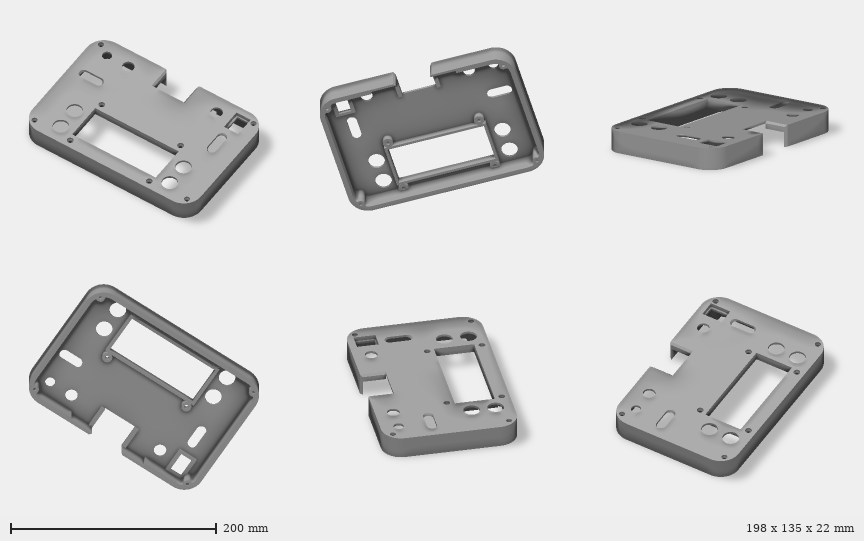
import cadquery as cq

length = 198.0
width = 135.0
height = 22.0
corner_radius = 20.0
wall = 5.0
plate = 2.4
plate_bottom = height - plate

corner_screw_x = 89.5
corner_screw_y = 57.8
corner_screw_hole = 3.2
corner_screw_head = 6.0
post_diameter = 8.3
post_blend = 2.0

notch_width = 39.0
notch_depth = 25.3
notch_bevel = 2.0
rail_width = 2.0
rail_height = 7.3
notch_front = width / 2 - notch_depth

thin_wall = 2.4
thin_wall_length = 86.3

window_x = 98.0
window_y = 40.0
window_center_y = -32.3
rim_wall = 2.5
rim_height = 9.0
window_screw_x = 46.3
window_screw_y = 27.3
window_screw_hole = 3.8
window_screw_head = 6.5
window_screw_boss = 9.9

seat_depth = 2.0
seat_cone_depth = 1.2

button_x = 64.0
button_rows = (-26.0, -49.9)
button_diameter = 16.2
jack_x = 51.9
jack_y = 49.5
jack_diameter = 12.3
lamp_x = -76.8
lamp_diameter = 9.9

slot_x = 73.9
slot_y = 17.6
slot_length = 27.7
slot_width = 9.9
slot_end_slope = 1.48

switch_x = 76.5
switch_y = 49.3
switch_recess_x = 16.6
switch_recess_y = 21.8
switch_recess_depth = 4.4
switch_opening_x = 12.5
switch_opening_y = 19.2
switch_floor = 2.4
switch_wall = 1.5
switch_ledge = height - switch_recess_depth
switch_bottom = switch_ledge - switch_floor

corner_screws = [(i * corner_screw_x, j * corner_screw_y) for i in (-1, 1) for j in (-1, 1)]
window_screws = [
    (i * window_screw_x, window_center_y + j * window_screw_y) for i in (-1, 1) for j in (-1, 1)
]
round_holes = [
    (lamp_x, jack_y, lamp_diameter),
    (-jack_x, jack_y, jack_diameter),
    (jack_x, jack_y, jack_diameter),
]
round_holes += [(i * button_x, y, button_diameter) for i in (-1, 1) for y in button_rows]


def block(size_x, size_y, bottom, top, x=0.0, y=0.0):
    """A box centred on (x, y) that spans bottom to top."""
    base = cq.Workplane("XY", origin=(x, y, bottom))
    return base.rect(size_x, size_y).extrude(top - bottom)


def cylinder(diameter, bottom, top, x, y):
    """An upright cylinder at (x, y) that spans bottom to top."""
    base = cq.Workplane("XY", origin=(x, y, bottom))
    return base.circle(diameter / 2).extrude(top - bottom)


def cavity():
    """The hollow inside: one quarter, shaped around its screw post, mirrored twice."""
    size_x = length / 2 - wall
    size_y = width / 2 - wall
    quarter = block(size_x, size_y, 0, plate_bottom, size_x / 2, size_y / 2)
    quarter = quarter.edges("|Z and >X and >Y").fillet(corner_radius - wall)
    quarter = quarter.cut(cylinder(post_diameter, 0, plate_bottom, corner_screw_x, corner_screw_y))
    near_post = cq.selectors.BoxSelector(
        (corner_screw_x - post_diameter, corner_screw_y - post_diameter, 0),
        (corner_screw_x + post_diameter, corner_screw_y + post_diameter, plate_bottom),
    )
    quarter = quarter.edges(near_post).edges("|Z").fillet(post_blend)
    half = quarter.union(quarter.mirror("YZ"))
    return half.union(half.mirror("XZ"))


def back_wall_recess():
    """The pocket inside the back wall that thins it beside the notch."""
    size_y = notch_depth - thin_wall
    center_y = notch_front + size_y / 2
    return block(thin_wall_length, size_y, 0, plate_bottom, 0, center_y)


def notch_rails():
    """A bar around the notch; the notch cuts it into two side rails."""
    size_x = notch_width + 2 * rail_width
    size_y = notch_depth - thin_wall
    center_y = notch_front + size_y / 2
    return block(size_x, size_y, height - rail_height, height, 0, center_y)


def notch():
    """The notch with bevelled upper side edges and chamfered outer corners."""
    back = width / 2
    half_outer = notch_width / 2
    half_inner = half_outer - notch_bevel
    plan = [
        (-half_inner, notch_front),
        (half_inner, notch_front),
        (half_inner, back - notch_bevel),
        (half_outer, back),
        (-half_outer, back),
        (-half_inner, back - notch_bevel),
    ]
    bevel_profile = [
        (-half_inner, height - notch_bevel),
        (half_inner, height - notch_bevel),
        (half_outer, height),
        (-half_outer, height),
    ]
    opening = cq.Workplane("XY").polyline(plan).close().extrude(height)
    back_plane = cq.Workplane("XZ", origin=(0, back, 0))
    bevel = back_plane.polyline(bevel_profile).close().extrude(notch_depth)
    return opening.union(bevel)


def window_rim():
    size_x = window_x + 2 * rim_wall
    size_y = window_y + 2 * rim_wall
    return block(size_x, size_y, height - rim_height, height, 0, window_center_y)


def switch_well():
    size_x = switch_recess_x + 2 * switch_wall
    size_y = switch_recess_y + 2 * switch_wall
    return block(size_x, size_y, switch_bottom, height, switch_x, switch_y)


def switch_cutout():
    recess = block(switch_recess_x, switch_recess_y, switch_ledge, height, switch_x, switch_y)
    opening = block(switch_opening_x, switch_opening_y, switch_bottom, height, switch_x, switch_y)
    return recess.union(opening)


def screw_hole(x, y, hole, head):
    """A through hole whose head seat is a counterbore with a conical floor."""
    seat = height - seat_depth
    cone = cq.Workplane("XY", origin=(x, y, seat)).circle(head / 2)
    cone = cone.workplane(offset=-seat_cone_depth).circle(hole / 2).loft(ruled=True)
    counterbore = cylinder(head, seat, height, x, y)
    return counterbore.union(cone).union(cylinder(hole, 0, height, x, y))


def sloped_slot(x, angle):
    upper = cq.Workplane("XY", origin=(x, slot_y, height)).slot2D(slot_length, slot_width, angle)
    lower_length = slot_length - 2 * slot_end_slope
    lower = upper.workplane(offset=-plate).slot2D(lower_length, slot_width, angle)
    return lower.loft(ruled=True)


body = block(length, width, 0, height).edges("|Z").fillet(corner_radius)
body = body.cut(cavity()).cut(back_wall_recess())

body = body.union(notch_rails()).union(window_rim()).union(switch_well())
for x, y in window_screws:
    body = body.union(cylinder(window_screw_boss, height - rim_height, height, x, y))

body = body.cut(notch()).cut(switch_cutout())
body = body.cut(block(window_x, window_y, 0, height, 0, window_center_y))
body = body.cut(sloped_slot(-slot_x, 0)).cut(sloped_slot(slot_x, 90))
for x, y, diameter in round_holes:
    body = body.cut(cylinder(diameter, plate_bottom, height, x, y))
for x, y in corner_screws:
    body = body.cut(screw_hole(x, y, corner_screw_hole, corner_screw_head))
for x, y in window_screws:
    body = body.cut(screw_hole(x, y, window_screw_hole, window_screw_head))

result = body